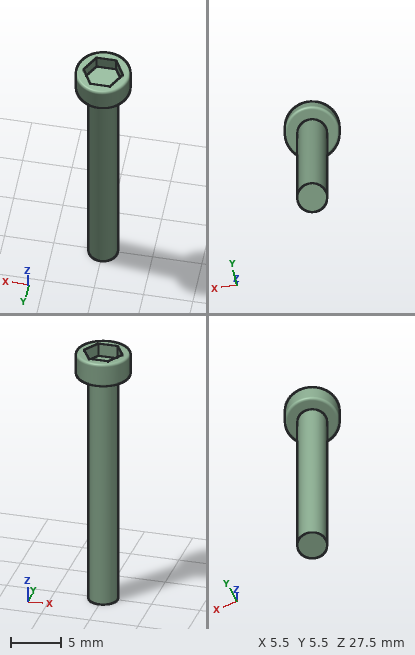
import cadquery as cq

total_length = 27.5
head_diameter = 5.5
shank_diameter = 3.0
head_height = 2.5
head_edge_radius = 0.28
socket_corner_diameter = 4.0
socket_depth = 1.38

shank_length = total_length - head_height

head = (
    cq.Workplane("XY")
    .workplane(offset=shank_length)
    .circle(head_diameter / 2)
    .extrude(head_height)
    .edges()
    .fillet(head_edge_radius)
)

shank = cq.Workplane("XY").circle(shank_diameter / 2).extrude(shank_length)

socket = (
    cq.Workplane("XY")
    .workplane(offset=total_length - socket_depth)
    .polygon(6, socket_corner_diameter)
    .extrude(socket_depth)
)

result = head.union(shank).cut(socket)